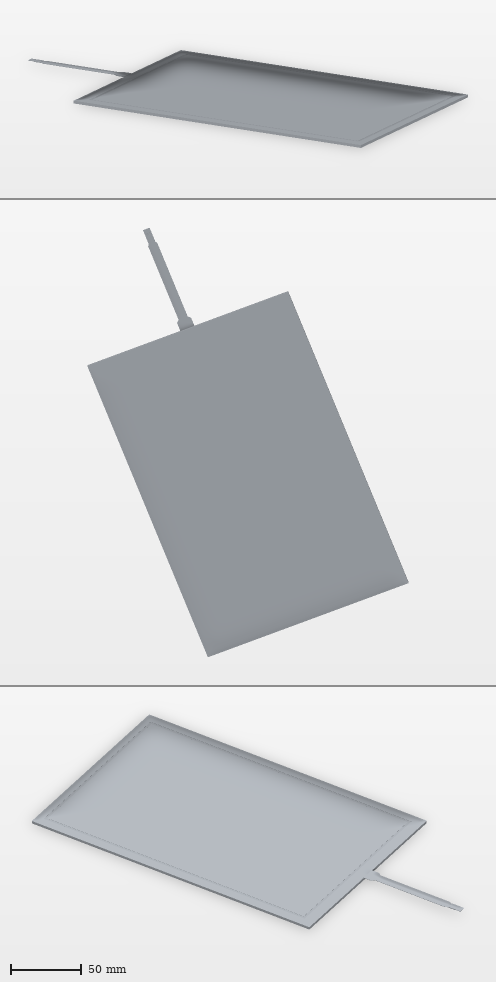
import cadquery as cq

total_length = 314.7
total_height = 2.6

panel_left = 80.0
panel_length = total_length - panel_left
panel_width = 153.0
panel_thickness = 2.05

groove_left_margin = 8.5
groove_right_margin = 5.7
groove_side_margin = 7.0
groove_width = 2.0
groove_depth = 0.15

tail_center_y = 0.3
tail_thickness = 0.3
tail_top = 2.33
tail_bottom = tail_top - tail_thickness
tip_width = 5.0
strip_width = 7.0
root_width = 10.7
tip_length = 11.0
strip_start = 12.5
strip_end = 71.8
root_start = 73.5

pad_length = 10.0
pad_height = total_height - tail_top

relief_length = 4.7
relief_depth = 0.3

contact_count = 4
contact_width = 0.5
contact_pitch = 1.3
contact_height = 0.05


def block(left, length, width, bottom, height, center_y=0.0):
    """Box given by its left face, its bottom face and its middle in Y."""
    return (
        cq.Workplane("XY")
        .box(length, width, height, centered=(False, True, False))
        .translate((left, center_y, bottom))
    )


def make_panel():
    """Flat plate with a closed rectangular groove around its active area."""
    panel = block(panel_left, panel_length, panel_width, 0, panel_thickness)
    outer_length = panel_length - groove_left_margin - groove_right_margin
    outer_width = panel_width - 2 * groove_side_margin
    outer_left = panel_left + groove_left_margin
    groove_floor = panel_thickness - groove_depth
    outer = block(outer_left, outer_length, outer_width, groove_floor, groove_depth)
    island = block(
        outer_left + groove_width,
        outer_length - 2 * groove_width,
        outer_width - 2 * groove_width,
        groove_floor,
        groove_depth,
    )
    return panel.cut(outer.cut(island))


def make_tail():
    """Strip widening in two tapers to its root, with a pad, a relief and contacts at the tip."""
    upper_edge = [
        (0, tip_width / 2),
        (tip_length, tip_width / 2),
        (strip_start, strip_width / 2),
        (strip_end, strip_width / 2),
        (root_start, root_width / 2),
        (panel_left, root_width / 2),
    ]
    lower_edge = [(x, -y) for x, y in reversed(upper_edge)]
    strip = (
        cq.Workplane("XY")
        .polyline(upper_edge + lower_edge)
        .close()
        .extrude(tail_thickness)
        .translate((0, tail_center_y, tail_bottom))
    )
    pad = block(0, pad_length, tip_width, tail_top, pad_height, tail_center_y)
    relief = block(0, relief_length, tip_width, tail_bottom, relief_depth, tail_center_y)
    tail = strip.union(pad).cut(relief)
    for index in range(contact_count):
        offset = (index - (contact_count - 1) / 2) * contact_pitch
        contact = block(
            0,
            relief_length,
            contact_width,
            tail_bottom + relief_depth - contact_height,
            contact_height,
            tail_center_y + offset,
        )
        tail = tail.union(contact)
    return tail


panel = make_panel()
tail = make_tail()

result = cq.Compound.makeCompound([panel.val(), tail.val()])